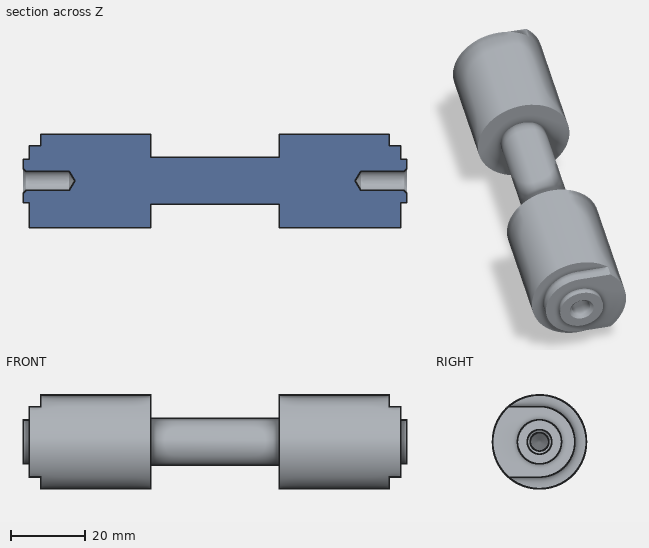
import cadquery as cq
import math

total_length = 103.6
roller_diameter = 25.4
shaft_diameter = 12.7
roller_gap = 34.6

journal_diameter = 11.9
journal_length = 1.7
tab_width = 19.1
tab_length = 3.1

hole_diameter = 5.0
hole_depth = 12.4
hole_mouth_diameter = 6.6
drill_point_angle = 118.0

half_length = total_length / 2
tab_face = half_length - journal_length
roller_face = tab_face - tab_length
roller_inner_face = roller_gap / 2


def cylinder(diameter, start, end):
    """Solid cylinder on the X axis between two positions."""
    return cq.Workplane("YZ", origin=(start, 0, 0)).circle(diameter / 2).extrude(end - start)


def end_tab():
    """Tab with a round +Y end, parallel flats and a -Y end flush with the roller."""
    round_end = cylinder(tab_width, roller_face, tab_face)
    flat_reach = roller_diameter / 2
    flats = cq.Workplane("XY").box(
        tab_length, flat_reach, tab_width, centered=(False, False, True)
    ).translate((roller_face, -flat_reach, 0))
    return round_end.union(flats).intersect(cylinder(roller_diameter, roller_face, tab_face))


def end_hole():
    """Blind drilled hole with a 45 degree countersunk mouth and a conical bottom."""
    radius = hole_diameter / 2
    mouth_radius = hole_mouth_diameter / 2
    bottom = half_length - hole_depth
    point_length = radius / math.tan(math.radians(drill_point_angle / 2))
    profile = [
        (half_length, 0),
        (half_length, mouth_radius),
        (half_length - (mouth_radius - radius), radius),
        (bottom, radius),
        (bottom - point_length, 0),
    ]
    return cq.Workplane("XY").polyline(profile).close().revolve(360, (0, 0, 0), (1, 0, 0))


def end_assembly():
    """Roller, tab and journal at the +X end."""
    roller = cylinder(roller_diameter, roller_inner_face, roller_face)
    journal = cylinder(journal_diameter, tab_face, half_length)
    return roller.union(end_tab()).union(journal)


positive_end = end_assembly()
positive_hole = end_hole()
shaft = cylinder(shaft_diameter, -roller_inner_face, roller_inner_face)

result = (
    shaft
    .union(positive_end)
    .union(positive_end.mirror("YZ"))
    .cut(positive_hole)
    .cut(positive_hole.mirror("YZ"))
)